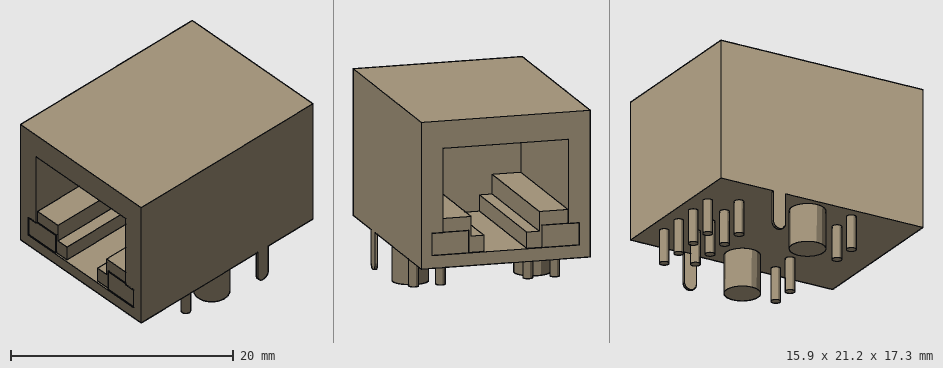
import cadquery as cq

length = 21.2
width = 15.9
height = 13.6

opening_width = 11.79
opening_depth = 14.85
floor_height = 1.19
opening_top = 11.07
rail_setback = 0.2
upper_rail_inner_x = 3.2
upper_rail_top = 4.52
lower_rail_inner_x = 2.01
lower_rail_top = 2.7

light_inner_x = 3.43
light_outer_x = 6.93
light_top = 3.25
pocket_depth = 2.12
light_setback = 0.1

pin_diameter = 0.9
pin_length = 3.22
pin_pitch = 1.27
contact_count = 8
contact_row_offset = 0.15
contact_row_y = (17.13, 19.65)
light_pin_x = (4.11, 6.64)
light_pin_y = 6.75
post_diameter = 3.3
post_length = 3.73
post_x = 5.72
post_y = 10.8
tab_thickness = 0.25
tab_width = 1.27
tab_length = 3.56
tab_y = 15.05

SIDES = (-1, 1)


def block(x_start, x_end, y_start, y_end, z_start, z_end):
    """Box between two opposite corners; x_start and x_end may be in either order."""
    size = (abs(x_end - x_start), y_end - y_start, z_end - z_start)
    corner = (min(x_start, x_end), y_start, z_start)
    return cq.Workplane("XY").box(*size, centered=False).translate(corner)


def light_block(side, start_y):
    """Block in the place of a light, from start_y to the back of its pocket."""
    return block(side * light_inner_x, side * light_outer_x,
                 start_y, pocket_depth, floor_height, light_top)


def make_pocket(side):
    return light_block(side, 0)


def make_light(side):
    return light_block(side, light_setback)


def make_rail(side):
    """Two-step guide rail running from the opening to its back wall."""
    wall_x = opening_width / 2
    upper = block(side * upper_rail_inner_x, side * wall_x,
                  rail_setback, opening_depth, floor_height, upper_rail_top)
    lower = block(side * lower_rail_inner_x, side * wall_x,
                  rail_setback, opening_depth, floor_height, lower_rail_top)
    return upper.union(lower)


def make_legs(points, diameter, leg_length):
    """Round legs hanging from the underside at the given (x, y) points."""
    return cq.Workplane("XY").pushPoints(points).circle(diameter / 2).extrude(-leg_length)


def make_tab(side):
    """Round-ended shield tab, flush with the side of the housing."""
    half_width = tab_width / 2
    straight_end = half_width - tab_length
    profile = (
        cq.Workplane("YZ")
        .moveTo(tab_y - half_width, 0)
        .lineTo(tab_y - half_width, straight_end)
        .threePointArc((tab_y, -tab_length), (tab_y + half_width, straight_end))
        .lineTo(tab_y + half_width, 0)
        .close()
    )
    tab_center_x = side * (width - tab_thickness) / 2
    return profile.extrude(tab_thickness / 2, both=True).translate((tab_center_x, 0, 0))


def contact_points():
    """Contact pins at a constant pitch, alternating between two rows."""
    first_x = contact_row_offset - pin_pitch * (contact_count - 1) / 2
    return [(first_x + i * pin_pitch, contact_row_y[i % 2]) for i in range(contact_count)]


def make_housing():
    shell = block(-width / 2, width / 2, 0, length, 0, height)
    opening = block(-opening_width / 2, opening_width / 2, 0, opening_depth, floor_height, opening_top)
    housing = shell.cut(opening)
    for side in SIDES:
        housing = housing.union(make_rail(side)).cut(make_pocket(side)).union(make_tab(side))

    light_pins = [(side * x, light_pin_y) for side in SIDES for x in light_pin_x]
    posts = [(side * post_x, post_y) for side in SIDES]
    housing = housing.union(make_legs(contact_points() + light_pins, pin_diameter, pin_length))
    return housing.union(make_legs(posts, post_diameter, post_length))


housing = make_housing()
lights = [make_light(side) for side in SIDES]

result = cq.Compound.makeCompound([housing.val(), *[light.val() for light in lights]])